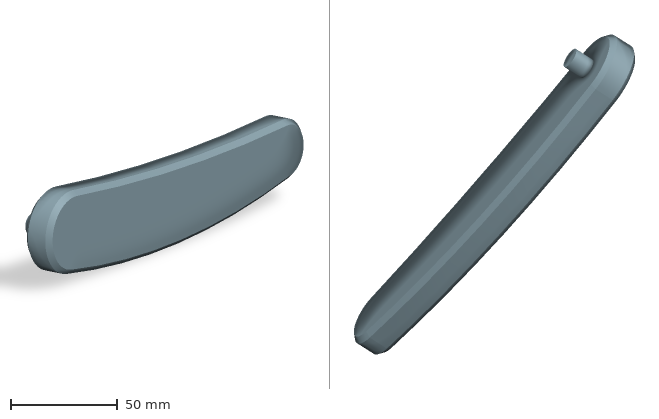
import cadquery as cq
import math

total_length = 205.0
pivot_radius = 20.0
tip_radius = 15.0
belly_radius = 456.3
back_radius = 1000.4
thickness = 15.0
edge_chamfer = 2.5
pin_diameter = 10.0
pin_length = 10.0

tip_y = total_length - pivot_radius - tip_radius


def arc_center_above(pivot_distance, tip_distance):
    """Point above the Y axis at the given distances from the pivot and tip centres."""
    y = (pivot_distance**2 - tip_distance**2 + tip_y**2) / (2 * tip_y)
    return y, math.sqrt(pivot_distance**2 - y**2)


def toward(start, target, distance):
    """Point reached by going a distance from start toward target (away if negative)."""
    dy = target[0] - start[0]
    dz = target[1] - start[1]
    scale = distance / math.hypot(dy, dz)
    return start[0] + dy * scale, start[1] + dz * scale


def make_blade():
    """Curved blade whose long arcs run tangent into both round ends."""
    pivot = (0, 0)
    tip = (tip_y, 0)
    belly = arc_center_above(belly_radius - pivot_radius, belly_radius - tip_radius)
    back = arc_center_above(back_radius + pivot_radius, back_radius + tip_radius)

    pivot_top = toward(pivot, back, pivot_radius)
    pivot_bottom = toward(pivot, belly, -pivot_radius)
    tip_top = toward(tip, back, tip_radius)
    tip_bottom = toward(tip, belly, -tip_radius)

    return (
        cq.Workplane("YZ")
        .moveTo(*pivot_top)
        .threePointArc((back[0], back[1] - back_radius), tip_top)
        .threePointArc((tip_y + tip_radius, 0), tip_bottom)
        .threePointArc((belly[0], belly[1] - belly_radius), pivot_bottom)
        .threePointArc((-pivot_radius, 0), pivot_top)
        .close()
        .extrude(thickness)
        .faces("<X or >X")
        .chamfer(edge_chamfer)
    )


def make_pin():
    """Round pin standing out of the -X face at the pivot centre."""
    return cq.Workplane("YZ").circle(pin_diameter / 2).extrude(-pin_length)


result = make_blade().union(make_pin())